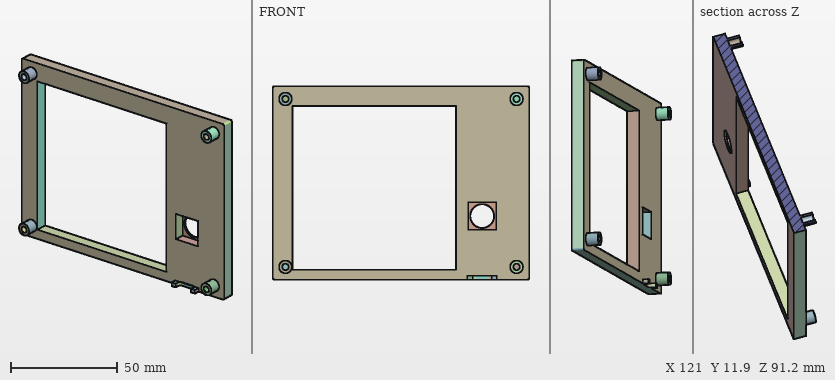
import cadquery as cq

plate_width = 121.0
plate_height = 91.2
plate_thickness = 6.0
corner_radius = 1.0

window_side = 77.0
window_left = 9.4
window_bottom = plate_height - window_left - window_side

standoff_length = 5.9
standoff_diameter = 6.0
standoff_bore = 3.0
standoff_inset = 6.0

pocket_x = 98.7
pocket_z = 30.0
pocket_side = 13.1
pocket_floor = 1.0
opening_diameter = 11.1

lug_span = 13.9
lug_width = 2.4
lug_height = 1.9
lug_length = 2.8
recess_depth = 0.5
recess_fillet = 1.5
recess_width = lug_span - 2 * lug_width


def block(x, y, z, width, depth, height):
    """Box with its lowest corner at (x, y, z)."""
    return cq.Workplane("XY").box(width, depth, height, centered=False).translate((x, y, z))


def rod(x, z, diameter, y_start, length):
    """Cylinder along +Y."""
    profile = cq.Workplane("XZ", origin=(x, y_start, z)).circle(diameter / 2)
    return profile.extrude(-length)


def make_plate():
    plate = block(0, 0, 0, plate_width, plate_thickness, plate_height)
    plate = plate.edges("|Y").fillet(corner_radius)
    window = block(window_left, 0, window_bottom, window_side, plate_thickness, window_side)
    return plate.cut(window)


def cut_pocket(body):
    pocket = block(
        pocket_x - pocket_side / 2,
        0,
        pocket_z - pocket_side / 2,
        pocket_side,
        plate_thickness - pocket_floor,
        pocket_side,
    )
    opening = rod(pocket_x, pocket_z, opening_diameter, 0, plate_thickness)
    return body.cut(pocket).cut(opening)


def add_lugs(body):
    """Add one bar, then split it into two lugs with a round-cornered recess."""
    bar = block(pocket_x - lug_span / 2, -lug_length, 0, lug_span, lug_length, lug_height)
    recess = block(
        pocket_x - recess_width / 2,
        -lug_length,
        0,
        recess_width,
        lug_length + recess_depth,
        lug_height,
    )
    recess = recess.edges("|Z and >Y").fillet(recess_fillet)
    return body.union(bar).cut(recess)


def add_standoffs(body):
    """Add hollow standoffs whose bores end at the plate face."""
    for x in (standoff_inset, plate_width - standoff_inset):
        for z in (standoff_inset, plate_height - standoff_inset):
            post = rod(x, z, standoff_diameter, -standoff_length, standoff_length)
            bore = rod(x, z, standoff_bore, -standoff_length, standoff_length)
            body = body.union(post.cut(bore))
    return body


result = add_standoffs(add_lugs(cut_pocket(make_plate())))